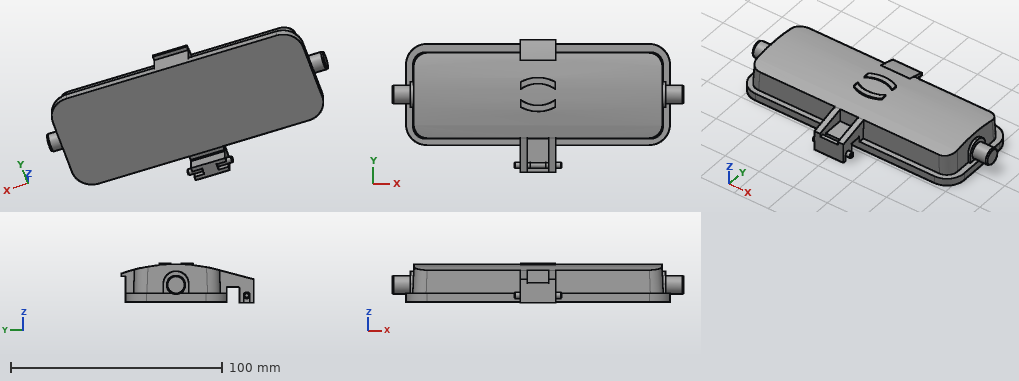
import cadquery as cq
import math

OVERALL_LENGTH = 137.86
OVERALL_WIDTH = 62.85
OVERALL_HEIGHT = 18.8

FLANGE_LENGTH = 125.0
FLANGE_WIDTH = 48.0
FLANGE_HEIGHT = 4.2
FLANGE_CORNER_RADIUS = 10.0

BODY_LENGTH = 118.4
BODY_WIDTH = 41.1
BODY_CENTRE_Y = -0.45
BODY_CORNER_RADIUS = 6.2
BODY_DRAFT_INSET = 0.55
ROOF_APEX = 17.95
ROOF_RADIUS = 76.0

TRUNNION_SPAN = OVERALL_LENGTH
TRUNNION_DIAMETER = 8.8
TRUNNION_TIP_DIAMETER = 8.0
TRUNNION_CHAMFER_LENGTH = 0.8
TRUNNION_Z = 8.1
BOSS_SPAN = 120.6
BOSS_RADIUS = 6.0
BOSS_CENTRE_Z = 8.6

LATCH_WIDTH = 17.0
HOOK_INNER_Y = 16.3
HOOK_TIP_Y = 26.0
HOOK_UNDERSIDE = 12.1
HOOK_RISE = 0.1

ARM_TIP_Y = HOOK_TIP_Y - OVERALL_WIDTH
ARM_BOTTOM = -0.4
ARM_TIP_Z = 10.8
ARM_UNDERSIDE = 7.1
ARM_START_Y = -19.0
LEG_INNER_Y = -30.0
LEG_CHAMFER = 0.5
CHANNEL_WIDTH = 10.4
CHANNEL_FLOOR = 8.1
LIP_HEIGHT = 9.1
WELL_REAR_Y = -32.2
WELL_FRONT_Y = -34.8

PIN_DIAMETER = 3.0
PIN_LENGTH = 22.4
PIN_CHAMFER = 0.5
PIN_Y = -33.45
PIN_Z = 3.15
SLOT_WIDTH = 3.05
SADDLE_LENGTH = 7.2

PAD_TOP = ARM_BOTTOM + OVERALL_HEIGHT
PAD_EMBEDMENT = 1.0
PAD_WIDTH = 16.4
PAD_OUTER_CREST = 8.05
PAD_OUTER_CORNER = 5.9
PAD_INNER_CREST = 5.15
PAD_INNER_CORNER = 2.5


def roof_height(y, rise=0.0):
    """Height of the roof arc at a given Y, optionally lifted by a rise."""
    radius = ROOF_RADIUS + rise
    return ROOF_APEX - ROOF_RADIUS + math.sqrt(radius**2 - y**2)


def box(x_range, y_range, z_range):
    """Axis-aligned block between the given limits."""
    size = [high - low for low, high in (x_range, y_range, z_range)]
    corner = (x_range[0], y_range[0], z_range[0])
    return cq.Workplane("XY").box(*size, centered=False).translate(corner)


def extrude_across(profile, length):
    """Extrude a YZ profile symmetrically about X = 0."""
    return profile.extrude(length / 2, both=True)


def rounded_rectangle(length, width, radius):
    return cq.Sketch().rect(length, width).vertices().fillet(radius)


def make_flange():
    outline = rounded_rectangle(FLANGE_LENGTH, FLANGE_WIDTH, FLANGE_CORNER_RADIUS)
    return cq.Workplane("XY").placeSketch(outline).extrude(FLANGE_HEIGHT)


def make_body():
    """Drafted block with constant corner radius, trimmed by the roof cylinder."""
    height = ROOF_APEX - FLANGE_HEIGHT
    base = rounded_rectangle(BODY_LENGTH, BODY_WIDTH, BODY_CORNER_RADIUS)
    top = rounded_rectangle(
        BODY_LENGTH - 2 * BODY_DRAFT_INSET, BODY_WIDTH - 2 * BODY_DRAFT_INSET, BODY_CORNER_RADIUS
    ).moved(cq.Location(cq.Vector(0, 0, height)))
    block = cq.Workplane("XY").workplane(offset=FLANGE_HEIGHT).placeSketch(base, top).loft(ruled=True)
    roof = extrude_across(
        cq.Workplane("YZ").center(0, ROOF_APEX - ROOF_RADIUS).circle(ROOF_RADIUS), BODY_LENGTH
    )
    return block.translate((0, BODY_CENTRE_Y, 0)).intersect(roof)


def make_trunnions():
    """Stepped pin through the body, with chamfered tips and an arched boss at each end."""
    boss = extrude_across(
        cq.Workplane("YZ")
        .moveTo(-BOSS_RADIUS, FLANGE_HEIGHT)
        .lineTo(-BOSS_RADIUS, BOSS_CENTRE_Z)
        .threePointArc((0, BOSS_CENTRE_Z + BOSS_RADIUS), (BOSS_RADIUS, BOSS_CENTRE_Z))
        .lineTo(BOSS_RADIUS, FLANGE_HEIGHT)
        .close(),
        BOSS_SPAN,
    )
    tip_inset = (TRUNNION_DIAMETER - TRUNNION_TIP_DIAMETER) / 2
    pins = extrude_across(
        cq.Workplane("YZ").center(0, TRUNNION_Z).circle(TRUNNION_DIAMETER / 2), TRUNNION_SPAN
    )
    for end in (">X", "<X"):
        pins = pins.faces(end).chamfer(TRUNNION_CHAMFER_LENGTH, tip_inset)
    return boss.union(pins)


def make_hook():
    """Rib behind the body ending in an overhanging lip that follows the roof."""
    rib_y = FLANGE_WIDTH / 2
    middle_y = (HOOK_INNER_Y + HOOK_TIP_Y) / 2
    profile = (
        cq.Workplane("YZ")
        .moveTo(HOOK_INNER_Y, FLANGE_HEIGHT)
        .lineTo(rib_y, FLANGE_HEIGHT)
        .lineTo(rib_y, HOOK_UNDERSIDE)
        .lineTo(HOOK_TIP_Y, HOOK_UNDERSIDE)
        .lineTo(HOOK_TIP_Y, roof_height(HOOK_TIP_Y, HOOK_RISE))
        .threePointArc(
            (middle_y, roof_height(middle_y, HOOK_RISE)),
            (HOOK_INNER_Y, roof_height(HOOK_INNER_Y, HOOK_RISE)),
        )
        .close()
    )
    return extrude_across(profile, LATCH_WIDTH)


def make_arm():
    """Front arm sloping down from the roof edge, with a leg, an open channel and a pin well."""
    roof_edge_y = BODY_CENTRE_Y - (BODY_WIDTH / 2 - BODY_DRAFT_INSET)
    roof_edge_z = roof_height(roof_edge_y)
    flange_y = -FLANGE_WIDTH / 2
    profile = (
        cq.Workplane("YZ")
        .moveTo(ARM_START_Y, FLANGE_HEIGHT)
        .lineTo(flange_y, FLANGE_HEIGHT)
        .lineTo(flange_y, ARM_UNDERSIDE)
        .lineTo(LEG_INNER_Y + LEG_CHAMFER, ARM_UNDERSIDE)
        .lineTo(LEG_INNER_Y, ARM_UNDERSIDE - LEG_CHAMFER)
        .lineTo(LEG_INNER_Y, ARM_BOTTOM)
        .lineTo(ARM_TIP_Y, ARM_BOTTOM)
        .lineTo(ARM_TIP_Y, ARM_TIP_Z)
        .lineTo(roof_edge_y, roof_edge_z)
        .lineTo(ARM_START_Y, roof_edge_z)
        .close()
    )
    arm = extrude_across(profile, LATCH_WIDTH)

    channel_x = (-CHANNEL_WIDTH / 2, CHANNEL_WIDTH / 2)
    arm = arm.cut(box(channel_x, (WELL_FRONT_Y, ARM_START_Y), (CHANNEL_FLOOR, ROOF_APEX)))
    arm = arm.cut(box(channel_x, (ARM_TIP_Y, WELL_FRONT_Y), (LIP_HEIGHT, ROOF_APEX)))
    arm = arm.cut(box(channel_x, (WELL_FRONT_Y, WELL_REAR_Y), (PIN_Z, ROOF_APEX)))
    return cut_pin_slots(arm)


def cut_pin_slots(arm):
    """Round-topped slots, open downward, from both sides up to the central saddle."""
    half_slot = SLOT_WIDTH / 2
    slot = extrude_across(
        cq.Workplane("YZ")
        .moveTo(PIN_Y - half_slot, ARM_BOTTOM)
        .lineTo(PIN_Y - half_slot, PIN_Z)
        .threePointArc((PIN_Y, PIN_Z + half_slot), (PIN_Y + half_slot, PIN_Z))
        .lineTo(PIN_Y + half_slot, ARM_BOTTOM)
        .close(),
        LATCH_WIDTH,
    )
    saddle_x = (-SADDLE_LENGTH / 2, SADDLE_LENGTH / 2)
    saddle_zone = box(saddle_x, (ARM_TIP_Y, LEG_INNER_Y), (ARM_BOTTOM, ROOF_APEX))
    return arm.cut(slot.cut(saddle_zone))


def make_cross_pin():
    """Chamfered pin along X, with a slightly larger saddle around its middle."""
    axis = cq.Workplane("YZ").center(PIN_Y, PIN_Z)
    pin = extrude_across(axis.circle(PIN_DIAMETER / 2), PIN_LENGTH)
    pin = pin.faces("<X or >X").chamfer(PIN_CHAMFER)
    saddle = extrude_across(axis.circle(SLOT_WIDTH / 2), SADDLE_LENGTH)
    return pin.union(saddle)


def make_roof_pads():
    """Two mirrored arched pads with a common flat top."""
    half_width = PAD_WIDTH / 2
    base_z = roof_height(PAD_OUTER_CREST) - PAD_EMBEDMENT
    pad = (
        cq.Workplane("XY")
        .workplane(offset=base_z)
        .moveTo(-half_width, PAD_INNER_CORNER)
        .lineTo(-half_width, PAD_OUTER_CORNER)
        .threePointArc((0, PAD_OUTER_CREST), (half_width, PAD_OUTER_CORNER))
        .lineTo(half_width, PAD_INNER_CORNER)
        .threePointArc((0, PAD_INNER_CREST), (-half_width, PAD_INNER_CORNER))
        .close()
        .extrude(PAD_TOP - base_z)
    )
    return pad.union(pad.mirror("XZ"))


result = (
    make_flange()
    .union(make_body())
    .union(make_trunnions())
    .union(make_hook())
    .union(make_arm())
    .union(make_cross_pin())
    .union(make_roof_pads())
)